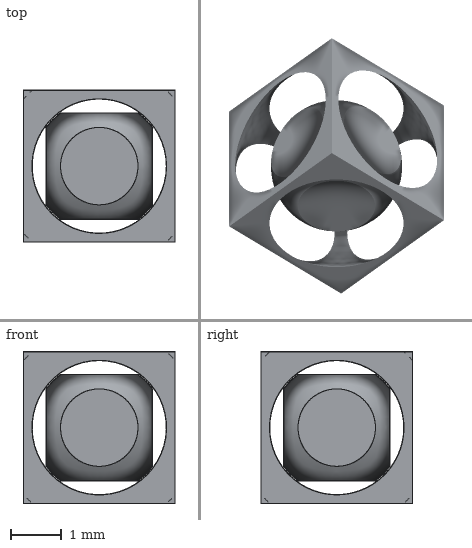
import cadquery as cq

frame_side = 3.0
cavity_radius = 2.0
core_radius = 1.3
core_width = 2.1


def make_frame():
    """Cubic frame with a spherical cavity that leaves a round window in each face."""
    cavity = cq.Workplane("XY").sphere(cavity_radius)
    return cq.Workplane("XY").box(frame_side, frame_side, frame_side).cut(cavity)


def make_core():
    """Loose ball at the centre of the frame, trimmed to six flats by a cube."""
    trimming_cube = cq.Workplane("XY").box(core_width, core_width, core_width)
    return cq.Workplane("XY").sphere(core_radius).intersect(trimming_cube)


frame = make_frame()
core = make_core()

result = cq.Compound.makeCompound([frame.val(), core.val()])